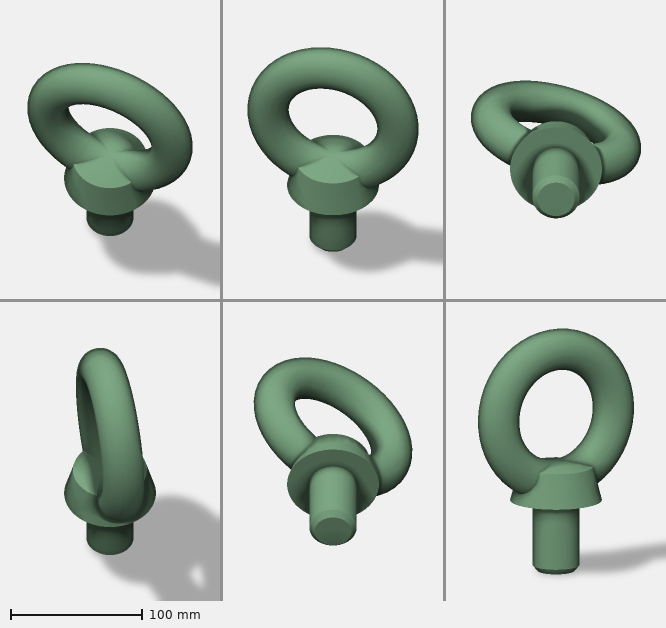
import cadquery as cq

ring_inner_diameter = 70.0
bar_diameter = 31.5
bar_radius = bar_diameter / 2
ring_centre_radius = ring_inner_diameter / 2 + bar_radius
ring_outer_radius = ring_centre_radius + bar_radius

collar_base_diameter = 70.0
collar_top_diameter = 56.5
collar_height = 26.2

ring_centre_z = ring_outer_radius
dome_apex_z = ring_centre_z - ring_inner_diameter / 2

shank_diameter = 36.0
shank_length = 55.0
shank_tip_diameter = 28.0
shank_tip_length = 4.5


def make_ring():
    """Torus about an axis parallel to Y, with its seam turned down into the collar."""
    ring_centre = cq.Vector(0, 0, ring_centre_z)
    ring_axis = cq.Vector(0, 1, 0)
    torus = cq.Solid.makeTorus(ring_centre_radius, bar_radius, ring_centre, ring_axis)
    return cq.Workplane(torus.rotate(ring_centre, ring_centre + ring_axis, 180))


def make_body():
    """Collar, dome and shank turned as one profile about the Z axis."""
    collar_top_radius = collar_top_diameter / 2
    dome_height = dome_apex_z - collar_height
    dome_radius = (collar_top_radius**2 + dome_height**2) / (2 * dome_height)
    return (
        cq.Workplane("XZ")
        .moveTo(0, -shank_length)
        .lineTo(shank_tip_diameter / 2, -shank_length)
        .lineTo(shank_diameter / 2, shank_tip_length - shank_length)
        .lineTo(shank_diameter / 2, 0)
        .lineTo(collar_base_diameter / 2, 0)
        .lineTo(collar_top_radius, collar_height)
        .radiusArc((0, dome_apex_z), -dome_radius)
        .close()
        .revolve(360, (0, 0, 0), (0, 1, 0))
    )


result = make_body().union(make_ring())